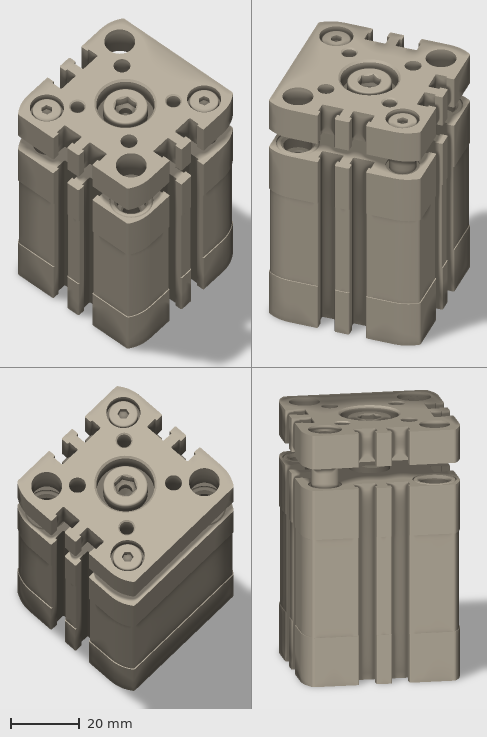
import cadquery as cq
import math


total_height = 75.5
housing_height = 59.0
plate_thickness = 10.05
cap_height = 14.7
barrel_height = housing_height - 2 * cap_height
plate_bottom = total_height - plate_thickness

width = 47.0
half_width = width / 2
corner_arc_radius = 12.0
corner_fillet = 1.0
barrel_inset = 0.3

slot_side_angles = (-90, 0, 90)
mouth_depth = 2.4
slot_depth = 5.9
mouth_inner, mouth_outer = 2.3, 7.5
pocket_inner, pocket_outer = 1.5, 8.15
slot_fillet = 0.4
slot_overrun = 0.75

guide_offset = 16.2
small_hole_offset = 9.9
center_point = [(0, 0)]
guide_points = [(guide_offset, guide_offset), (-guide_offset, -guide_offset)]
screw_points = [(-guide_offset, guide_offset), (guide_offset, -guide_offset)]
tapped_points = [(small_hole_offset, small_hole_offset), (-small_hole_offset, -small_hole_offset)]
pin_points = [(-small_hole_offset, small_hole_offset), (small_hole_offset, -small_hole_offset)]

rod_engagement = cap_height
rod_bottom = housing_height - rod_engagement
rod_diameter = 12.0
rod_flats_width = 10.0
rod_flats_bottom = 61.0
rod_flats_slope = 30
guide_diameter = 8.0

rod_head_diameter = 13.0
rod_head_fillet = 0.6
rod_head_drop = 1.05
rod_head_top = total_height - rod_head_drop
rod_hex_flats = 6.05
rod_hex_depth = 3.0
rod_hex_mouth_diameter = 7.1
drill_diameter = 4.0
drill_length = 3.0
drill_point_angle = 120
guide_head_diameter = 8.5
guide_head_fillet = 0.5
guide_head_drop = 0.8
guide_head_top = total_height - guide_head_drop
guide_hex_flats = 3.0
guide_hex_depth = 1.8
guide_hex_angle = -45

bore_diameter = 17.0
bore_depth = 5.8
bore_chamfer = 0.6
guide_counterbore_diameter = 10.0
guide_counterbore_depth = 3.0
screw_access_diameter = 9.0
tapped_diameter = 4.15
tapped_mouth_diameter = 5.0
pin_diameter = 4.9

groove_diameter = 12.8
collar_diameter = 11.9
groove_depth = (groove_diameter - collar_diameter) / 2
screw_bore_mouth_diameter = 10.2
screw_bore_diameter = 8.5
screw_bore_depth = 4.5
screw_hole_diameter = 5.0
screw_hole_mouth_diameter = 6.0
guide_recess_diameter = 10.0
guide_recess_depth = 0.45


def cylinders(points, diameter, bottom, top):
    """Upright cylinders at the given points."""
    base = cq.Workplane("XY", origin=(0, 0, bottom)).pushPoints(points)
    return base.circle(diameter / 2).extrude(top - bottom)


def cones(points, bottom_diameter, top_diameter, top, slope=45):
    """Upright cones that reach up to top, with the wall slope in degrees from horizontal."""
    height = abs(top_diameter - bottom_diameter) / 2 * math.tan(math.radians(slope))
    cone = cq.Solid.makeCone(bottom_diameter / 2, top_diameter / 2, height)
    base = cq.Workplane("XY", origin=(0, 0, top - height)).pushPoints(points)
    return base.eachpoint(lambda place: cone.moved(place))


def hex_prisms(points, flats, angle, bottom, top):
    """Upright hexagonal prisms, one corner turned to the given angle from +X."""
    corners = flats / math.cos(math.radians(30))
    prism = cq.Workplane("XY").polygon(6, corners).extrude(top - bottom)
    turned = prism.rotate((0, 0, 0), (0, 0, 1), angle).val()
    base = cq.Workplane("XY", origin=(0, 0, bottom)).pushPoints(points)
    return base.eachpoint(lambda place: turned.moved(place))


def fillet_upright_edges(block, points, height, radius):
    """Fillet the vertical edges that stand at the given points."""
    edges = []
    for x, y in points:
        nearest = cq.selectors.NearestToPointSelector((x, y, height / 2))
        edges += block.edges(nearest).vals()
    return block.newObject(edges).fillet(radius)


def rounded_square(half, height):
    """Square block whose corners are an arc tangent to the X side, then a small fillet."""
    rise = half - guide_offset
    sweep = math.asin(rise / corner_arc_radius)
    arc_center = half - corner_arc_radius
    arc_end = arc_center + corner_arc_radius * math.cos(sweep)
    middle_x = arc_center + corner_arc_radius * math.cos(sweep / 2)
    middle_y = guide_offset + corner_arc_radius * math.sin(sweep / 2)
    block = (
        cq.Workplane("XY")
        .moveTo(half, -guide_offset)
        .lineTo(half, guide_offset)
        .threePointArc((middle_x, middle_y), (arc_end, half))
        .lineTo(-arc_end, half)
        .threePointArc((-middle_x, middle_y), (-half, guide_offset))
        .lineTo(-half, -guide_offset)
        .threePointArc((-middle_x, -middle_y), (-arc_end, -half))
        .lineTo(arc_end, -half)
        .threePointArc((middle_x, -middle_y), (half, -guide_offset))
        .close()
        .extrude(height)
    )
    corners = [(sx * arc_end, sy * half) for sx in (-1, 1) for sy in (-1, 1)]
    return fillet_upright_edges(block, corners, height, corner_fillet)


def slot_pair(height):
    """Two mirrored T-slot cutters on the -Y side, with a rib left between them."""
    outside = -half_width - slot_overrun
    shoulder = -half_width + mouth_depth
    floor = -half_width + slot_depth
    slot = (
        cq.Workplane("XY")
        .moveTo(mouth_inner, outside)
        .lineTo(mouth_inner, shoulder)
        .lineTo(pocket_inner, shoulder)
        .lineTo(pocket_inner, floor)
        .lineTo(pocket_outer, floor)
        .lineTo(pocket_outer, shoulder)
        .lineTo(mouth_outer, shoulder)
        .lineTo(mouth_outer, outside)
        .close()
        .extrude(height)
    )
    floor_corners = [(pocket_inner, floor), (pocket_outer, floor)]
    slot = fillet_upright_edges(slot, floor_corners, height, slot_fillet)
    return slot.union(slot.mirror("YZ"))


def profile_block(bottom, height, inset=0.0):
    """A length of the slotted profile with its outer faces moved in by inset."""
    half = half_width - inset
    block = rounded_square(half, height)
    slots = slot_pair(height)
    mouth_edges = []
    for angle in slot_side_angles:
        block = block.cut(slots.rotate((0, 0, 0), (0, 0, 1), angle))
        cosine = math.cos(math.radians(angle))
        sine = math.sin(math.radians(angle))
        for along in (-mouth_outer, -mouth_inner, mouth_inner, mouth_outer):
            mouth_edges.append((along * cosine + half * sine, along * sine - half * cosine))
    block = fillet_upright_edges(block, mouth_edges, height, slot_fillet)
    return block.translate((0, 0, bottom))


def cut_rod_holes(body):
    body = body.cut(cylinders(center_point, rod_diameter, rod_bottom, housing_height))
    body = body.cut(cylinders(guide_points, guide_diameter, rod_bottom, housing_height))
    recess_bottom = housing_height - guide_recess_depth
    return body.cut(cylinders(guide_points, guide_recess_diameter, recess_bottom, housing_height))


def cut_screw_holes(body):
    """Through holes below a chamfered bore, each bore ringed by a V-shaped groove."""
    groove = cylinders(screw_points, groove_diameter, housing_height - groove_depth, housing_height)
    collar = cones(screw_points, groove_diameter, collar_diameter, housing_height)
    seat = housing_height - screw_bore_depth
    body = body.cut(groove.cut(collar))
    body = body.cut(cones(screw_points, screw_bore_diameter, screw_bore_mouth_diameter, housing_height))
    body = body.cut(cylinders(screw_points, screw_bore_diameter, seat, housing_height))
    body = body.cut(cones(screw_points, screw_hole_diameter, screw_hole_mouth_diameter, seat))
    return body.cut(cylinders(screw_points, screw_hole_diameter, 0, seat))


def make_housing():
    body = profile_block(0, cap_height)
    body = body.union(profile_block(cap_height, barrel_height, barrel_inset))
    body = body.union(profile_block(housing_height - cap_height, cap_height))
    return cut_screw_holes(cut_rod_holes(body))


def make_plate():
    bore_floor = total_height - bore_depth
    counterbore_floor = total_height - guide_counterbore_depth
    bore_mouth_diameter = bore_diameter + 2 * bore_chamfer
    plate = profile_block(plate_bottom, plate_thickness)
    plate = plate.cut(cylinders(center_point, bore_diameter, bore_floor, total_height))
    plate = plate.cut(cones(center_point, bore_diameter, bore_mouth_diameter, total_height))
    plate = plate.cut(cylinders(guide_points, guide_counterbore_diameter, counterbore_floor, total_height))
    plate = plate.cut(cylinders(screw_points, screw_access_diameter, plate_bottom, total_height))
    plate = plate.cut(cylinders(pin_points, pin_diameter, plate_bottom, total_height))
    plate = plate.cut(cylinders(tapped_points, tapped_diameter, plate_bottom, total_height))
    return plate.cut(cones(tapped_points, tapped_diameter, tapped_mouth_diameter, total_height))


def make_piston_rod():
    """Round rod with two flats facing -Y and +Y that run out on a slope."""
    rod = cylinders(center_point, rod_diameter, rod_bottom, plate_bottom)
    radius = rod_diameter / 2
    flat = rod_flats_width / 2
    runout = (radius - flat) * math.tan(math.radians(rod_flats_slope))
    cutter = (
        cq.Workplane("YZ")
        .moveTo(flat, plate_bottom)
        .lineTo(flat, rod_flats_bottom)
        .lineTo(radius, rod_flats_bottom - runout)
        .lineTo(radius, plate_bottom)
        .close()
        .extrude(radius, both=True)
    )
    return rod.cut(cutter).cut(cutter.mirror("XZ"))


def make_heads(points, diameter, bottom, top, fillet):
    return cylinders(points, diameter, bottom, top).faces(">Z").edges().fillet(fillet)


def cut_rod_socket(body):
    """Chamfered hexagon socket that narrows to a drilled hole with a pointed end."""
    hex_floor = rod_head_top - rod_hex_depth
    drill_floor = hex_floor - drill_length
    point_slope = 90 - drill_point_angle / 2
    body = body.cut(hex_prisms(center_point, rod_hex_flats, 0, hex_floor, rod_head_top))
    body = body.cut(cones(center_point, rod_hex_flats, rod_hex_mouth_diameter, rod_head_top))
    body = body.cut(cones(center_point, drill_diameter, rod_hex_flats, hex_floor, point_slope))
    body = body.cut(cylinders(center_point, drill_diameter, drill_floor, hex_floor))
    return body.cut(cones(center_point, 0, drill_diameter, drill_floor, point_slope))


def make_carriage():
    bore_floor = total_height - bore_depth
    counterbore_floor = total_height - guide_counterbore_depth
    guide_hex_floor = guide_head_top - guide_hex_depth
    body = make_plate()
    body = body.union(make_piston_rod())
    body = body.union(make_heads(center_point, rod_head_diameter, bore_floor, rod_head_top, rod_head_fillet))
    body = body.union(cylinders(guide_points, guide_diameter, rod_bottom, plate_bottom))
    body = body.union(
        make_heads(guide_points, guide_head_diameter, counterbore_floor, guide_head_top, guide_head_fillet)
    )
    body = cut_rod_socket(body)
    return body.cut(
        hex_prisms(guide_points, guide_hex_flats, guide_hex_angle, guide_hex_floor, guide_head_top)
    )


housing = make_housing()
carriage = make_carriage()
result = cq.Compound.makeCompound([housing.solids().val(), carriage.solids().val()])